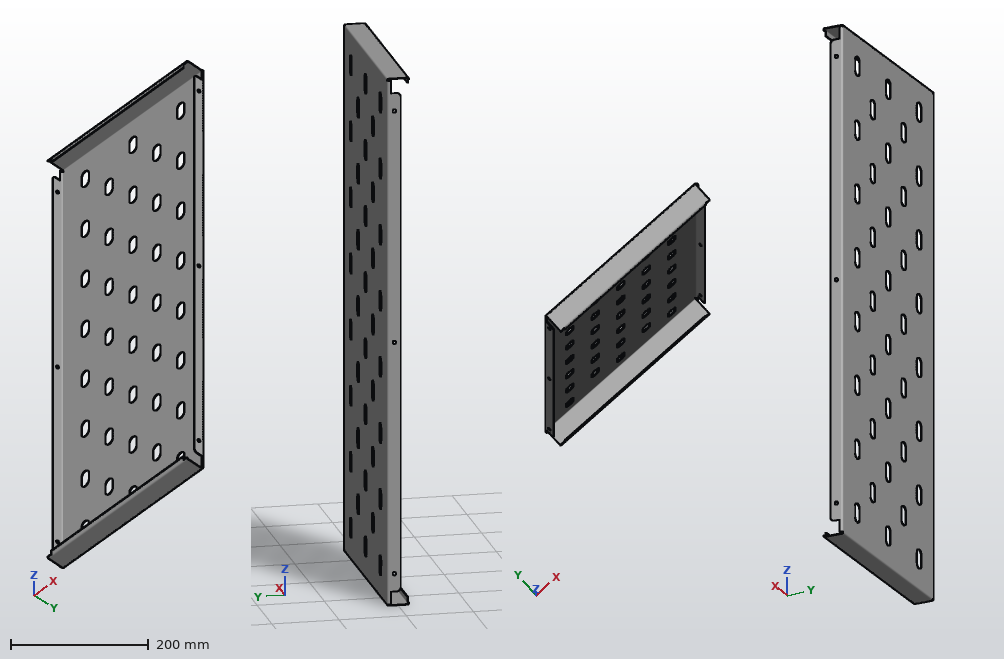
import cadquery as cq

WIDTH = 298.0
DEPTH = 33.0
HEIGHT = 798.0

THICKNESS = 1.5
BEND_RADIUS = 3.0
INNER_RADIUS = BEND_RADIUS - THICKNESS

SIDE_FLANGE_DEPTH = 20.0
SIDE_FLANGE_SETBACK = 22.0
SIDE_FLANGE_CORNER = 6.0
SIDE_FLANGE_NECK = 5.5
LIP_HEIGHT = 10.0
LIP_SETBACK = 10.5

SLOT_WIDTH = 15.0
SLOT_LENGTH = 30.0
SLOT_PITCH = 100.0
SLOT_COLUMNS = 3
SLOT_ROWS = 8

FLANGE_HOLE_DIAMETER = 5.0
FLANGE_HOLE_DEPTH = 10.5
FLANGE_HOLE_HEIGHTS = (-350.0, 0.0, 350.0)

HALF_WIDTH = WIDTH / 2
HALF_HEIGHT = HEIGHT / 2
FLAT_WIDTH = WIDTH - 2 * BEND_RADIUS
FLAT_HEIGHT = HEIGHT - 2 * BEND_RADIUS


def block(x_range, y_range, z_range):
    """Box spanning the given ranges."""
    (x0, x1), (y0, y1), (z0, z1) = x_range, y_range, z_range
    return cq.Workplane("XY").box(x1 - x0, y1 - y0, z1 - z0, centered=False).translate((x0, y0, z0))


def side_channel():
    """Panel with the two side flanges, bent along Z."""
    inner_half = HALF_WIDTH - THICKNESS
    z_range = (-FLAT_HEIGHT / 2, FLAT_HEIGHT / 2)
    outer = block((-HALF_WIDTH, HALF_WIDTH), (-SIDE_FLANGE_DEPTH, 0), z_range)
    outer = outer.edges("|Z and >Y").fillet(BEND_RADIUS)
    inner = block((-inner_half, inner_half), (-SIDE_FLANGE_DEPTH, -THICKNESS), z_range)
    inner = inner.edges("|Z and >Y").fillet(INNER_RADIUS)
    return outer.cut(inner)


def flange_window():
    """Space kept by the side flanges and by the necks beyond their ends, with rounded free corners."""
    half_length = HALF_HEIGHT - SIDE_FLANGE_SETBACK
    window = block(
        (-HALF_WIDTH, HALF_WIDTH), (-SIDE_FLANGE_DEPTH, 0), (-half_length, half_length)
    )
    window = window.edges("|X and <Y").fillet(SIDE_FLANGE_CORNER)
    necks = block((-HALF_WIDTH, HALF_WIDTH), (-SIDE_FLANGE_NECK, 0), (-HALF_HEIGHT, HALF_HEIGHT))
    return window.union(necks)


def end_channel():
    """Panel with the top and bottom flanges and their lips, bent along X."""
    x_range = (-FLAT_WIDTH / 2, FLAT_WIDTH / 2)
    inner_half = HALF_HEIGHT - THICKNESS
    mouth_half = HALF_HEIGHT - LIP_HEIGHT
    outer = block(x_range, (-DEPTH, 0), (-HALF_HEIGHT, HALF_HEIGHT)).edges("|X").fillet(BEND_RADIUS)
    inner = block(x_range, (THICKNESS - DEPTH, -THICKNESS), (-inner_half, inner_half))
    inner = inner.edges("|X").fillet(INNER_RADIUS)
    mouth = block(x_range, (-DEPTH, -DEPTH / 2), (-mouth_half, mouth_half))
    return outer.cut(inner).cut(mouth)


def lip_relief():
    """Material removed at the four lip ends, up to the bends."""
    lip_half = HALF_WIDTH - LIP_SETBACK
    y_range = (-DEPTH, THICKNESS - DEPTH)
    z_range = (BEND_RADIUS - HALF_HEIGHT, HALF_HEIGHT - BEND_RADIUS)
    left = block((-HALF_WIDTH, -lip_half), y_range, z_range)
    return left.union(left.mirror("YZ"))


def slot_pattern():
    """Upright slots: a full grid, and a second grid at the centres of its cells."""
    cut_depth = 2 * THICKNESS
    plane = cq.Workplane("XZ").workplane(offset=-THICKNESS / 2)
    slots = plane.rarray(SLOT_PITCH, SLOT_PITCH, SLOT_COLUMNS, SLOT_ROWS)
    slots = slots.slot2D(SLOT_LENGTH, SLOT_WIDTH, 90).extrude(cut_depth)
    between = plane.rarray(SLOT_PITCH, SLOT_PITCH, SLOT_COLUMNS - 1, SLOT_ROWS - 1)
    between = between.slot2D(SLOT_LENGTH, SLOT_WIDTH, 90).extrude(cut_depth)
    return slots.union(between)


def flange_holes():
    """Round holes passing through both side flanges."""
    centres = [(-FLANGE_HOLE_DEPTH, z) for z in FLANGE_HOLE_HEIGHTS]
    plane = cq.Workplane("YZ").pushPoints(centres)
    return plane.circle(FLANGE_HOLE_DIAMETER / 2).extrude(HALF_WIDTH, both=True)


sides = side_channel().intersect(flange_window()).cut(flange_holes())
ends = end_channel().cut(lip_relief())
result = sides.union(ends).cut(slot_pattern())